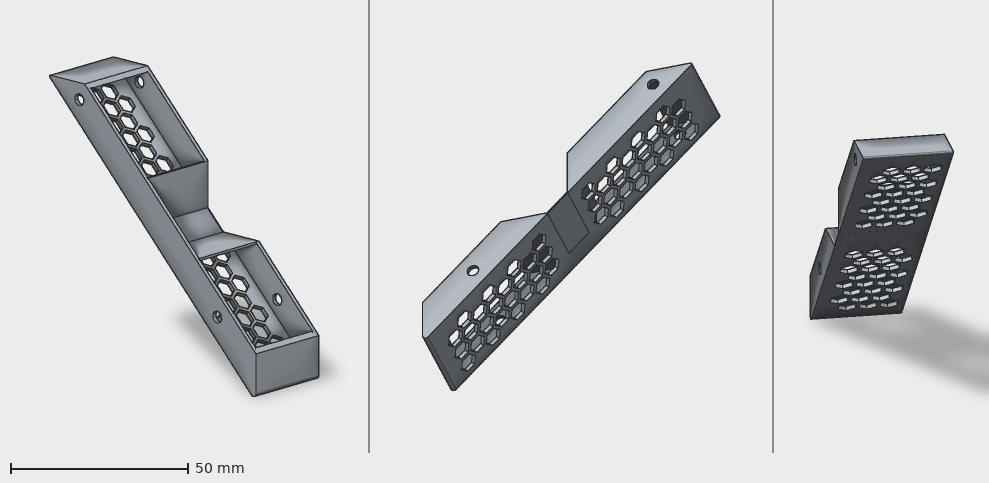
import cadquery as cq
import math


LENGTH = 79.86
WIDTH = 26.0
THICKNESS = 10.0
TIP_RADIUS = 0.4
TOE_RADIUS = 1.0

WALL = 1.3
SKIN = WALL
PARTITION = 0.75

BAY_X = 36.95
BAY_SIDE = 19.7
BAY_SKIN = 0.3
BAY_STEP_WIDTH = 4.5

HOLE_DIAMETER = 3.4
UPPER_HOLE_DEPTH = 5.0
HOLE_SPACING = 53.4

HEX_FLATS = 5.0
HEX_PITCH = 6.0
HEX_PER_ROW = 3
HEX_ROWS = 19
SOLID_ROWS = (8, 9, 10)
FIRST_ROW_DROP = 7.55
EVEN_ROW_Y = 4.5
ODD_ROW_Y = EVEN_ROW_Y + HEX_PITCH / 2

SLANT = math.sqrt(2)
OUTER_LINE = -TIP_RADIUS * SLANT
OPEN_LINE = OUTER_LINE + THICKNESS * SLANT
FLOOR_LINE = OUTER_LINE + SKIN * SLANT
BAY_FLOOR_LINE = OUTER_LINE + BAY_SKIN * SLANT
MIDDLE_LINE = (OUTER_LINE + OPEN_LINE) / 2

BAY_TOP_Z = OPEN_LINE - BAY_X
SHELF_Z = BAY_TOP_Z - BAY_SIDE
BAY_END_X = BAY_X + BAY_SIDE


def prism(points, y_start, y_end):
    """Extrude an XZ outline from y_start to y_end."""
    return cq.Workplane("XZ", origin=(0, y_start, 0)).polyline(points).close().extrude(y_start - y_end)


def body():
    outline = [
        (OUTER_LINE, 0),
        (OPEN_LINE, 0),
        (LENGTH, OPEN_LINE - LENGTH),
        (LENGTH, OUTER_LINE - LENGTH),
    ]
    sharp = prism(outline, 0, WIDTH)
    with_toe = sharp.edges("|Y").edges("<Z").fillet(TOE_RADIUS)
    return with_toe.edges("|Y").edges("<X").fillet(TIP_RADIUS)


def pocket(top_z, end_x):
    """Tray pocket between a horizontal ceiling, a vertical end face, the floor and the open side."""
    beyond = OPEN_LINE + WALL
    outline = [
        (FLOOR_LINE - top_z, top_z),
        (beyond - top_z, top_z),
        (end_x, beyond - end_x),
        (end_x, FLOOR_LINE - end_x),
    ]
    return prism(outline, WALL, WIDTH - WALL)


def wall_tip_trim():
    """Levels the partition beside the bay and squares off the end of the bay shelf."""
    tip_x = BAY_X - PARTITION
    tip_z = SHELF_Z - PARTITION
    upper = [(tip_x, BAY_TOP_Z), (BAY_X, BAY_TOP_Z), (tip_x, BAY_TOP_Z + PARTITION)]
    lower = [(BAY_END_X, SHELF_Z), (BAY_END_X, tip_z), (BAY_END_X + PARTITION, tip_z)]
    return prism(upper, WALL, WIDTH - WALL).union(prism(lower, WALL, WIDTH - WALL))


def bay_part(floor_line, y_start, y_end):
    outline = [
        (BAY_X, floor_line - BAY_X),
        (BAY_X, BAY_TOP_Z),
        (BAY_END_X, BAY_TOP_Z),
        (BAY_END_X, SHELF_Z),
        (floor_line - SHELF_Z, SHELF_Z),
    ]
    return prism(outline, y_start, y_end)


def bay():
    step_y = WALL + BAY_STEP_WIDTH
    return bay_part(FLOOR_LINE, WALL, step_y).union(bay_part(BAY_FLOOR_LINE, step_y, WIDTH))


def screw_holes():
    first_x = MIDDLE_LINE + UPPER_HOLE_DEPTH
    centres = [
        (first_x, -UPPER_HOLE_DEPTH),
        (first_x + HOLE_SPACING, -UPPER_HOLE_DEPTH - HOLE_SPACING),
    ]
    return cq.Workplane("XZ").pushPoints(centres).circle(HOLE_DIAMETER / 2).extrude(-WIDTH)


def vents():
    row_pitch = HEX_PITCH * math.sqrt(3) / 2
    centres = []
    for row in range(HEX_ROWS):
        if row in SOLID_ROWS:
            continue
        first_y = ODD_ROW_Y if row % 2 else EVEN_ROW_Y
        for column in range(HEX_PER_ROW):
            centres.append((row * row_pitch, first_y + column * HEX_PITCH))
    start = (OUTER_LINE + FIRST_ROW_DROP, 0, -FIRST_ROW_DROP)
    slope = cq.Plane(origin=start, xDir=(1, 0, -1), normal=(1, 0, 1))
    corner_diameter = 2 * HEX_FLATS / math.sqrt(3)
    return cq.Workplane(slope).pushPoints(centres).polygon(6, corner_diameter).extrude(SKIN)


upper_pocket = pocket(-WALL, BAY_X - PARTITION)
lower_pocket = pocket(SHELF_Z - PARTITION, LENGTH - WALL)

result = (
    body()
    .cut(upper_pocket)
    .cut(lower_pocket)
    .cut(wall_tip_trim())
    .cut(bay())
    .cut(screw_holes())
    .cut(vents())
)